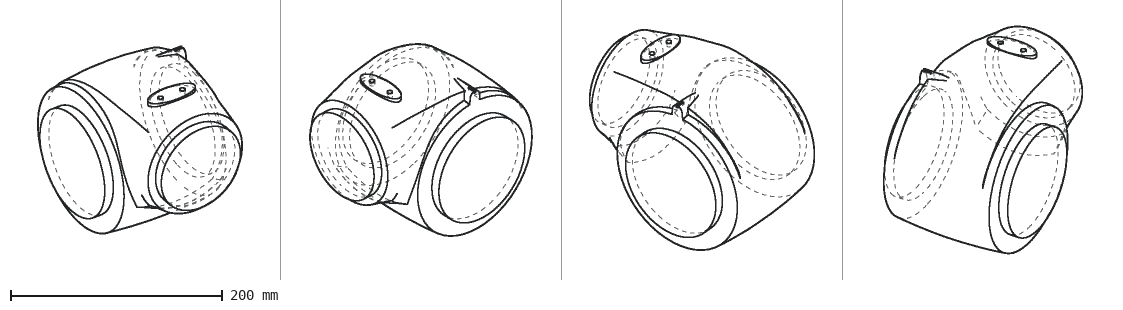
import cadquery as cq
import math


DRUM_WIDTH = 115.5
DRUM_END_RADIUS = 73.1
DRUM_MIDDLE_RADIUS = 76.5
PIN_DIAMETER = 110.0
PIN_SPAN = 135.0

NECK_HEIGHT = 35.0
NECK_RADIUS = 53.6
COLLAR_START_X = 90.2
NECK_END_X = 107.4
SPIGOT_DIAMETER = 90.0
SPIGOT_END_X = 117.0

PAD_X = 67.3
PAD_WIDTH = 21.7
PAD_LENGTH = 52.2
PAD_TOP = 92.5
PAD_BOTTOM = 69.7
PAD_HOLE_DIAMETER = 5.0
PAD_HOLE_SPACING = 25.0
PAD_HOLE_DEPTH = 3.9

RIB_FOOT_HALF_WIDTH = 7.0
RIB_FOOT_HEIGHT = 69.7
RIB_SHOULDER_HALF_WIDTH = 5.8
RIB_SHOULDER_HEIGHT = 80.1
RIB_TOP = 85.3
RIB_INNER_Y = 15.5
RIB_SLOT_WIDTH = 2.0
RIB_SLOT_LENGTH = 8.5
RIB_SLOT_DEPTH = 2.0


def barrel_drum():
    half_width = DRUM_WIDTH / 2
    profile = (
        cq.Workplane("XY")
        .moveTo(0, -half_width)
        .lineTo(DRUM_END_RADIUS, -half_width)
        .threePointArc((DRUM_MIDDLE_RADIUS, 0), (DRUM_END_RADIUS, half_width))
        .lineTo(0, half_width)
        .close()
    )
    return profile.revolve(360, (0, 0, 0), (0, 1, 0))


def pins():
    return cq.Workplane("XZ").circle(PIN_DIAMETER / 2).extrude(PIN_SPAN / 2, both=True)


def shell_section(x, tilt, crown, corner, waist, heel, keel):
    """Four-arc section, symmetric about Y = 0, in a plane through (x, 0, 0) at `tilt` degrees from +X.

    `crown` and `keel` are heights in that plane; `corner`, `waist` and `heel` are
    (half width, height) pairs.
    """
    angle = math.radians(tilt)

    def point(y, height):
        return cq.Vector(x + height * math.cos(angle), y, height * math.sin(angle))

    def side_point(pair, side):
        return point(side * pair[0], pair[1])

    def side_arc(start, end, side):
        return cq.Edge.makeThreePointArc(
            side_point(start, side), side_point(waist, side), side_point(end, side)
        )

    top = cq.Edge.makeThreePointArc(side_point(corner, -1), point(0, crown), side_point(corner, 1))
    back = side_arc(corner, heel, 1)
    bottom = cq.Edge.makeThreePointArc(side_point(heel, 1), point(0, keel), side_point(heel, -1))
    front = side_arc(heel, corner, -1)
    return cq.Wire.assembleEdges([top, back, bottom, front])


def shell():
    """Elbow that leaves the drum tangentially and turns into the round neck, closed by a collar."""
    diagonal = NECK_RADIUS / math.sqrt(2)
    sections = [
        (0, 159, 76.2, (48.4, 74.0), (50.3, 48.4), (48.4, 23.2), 19.4),
        (0, 145, 77.0, (48.4, 74.9), (50.3, 46.5), (48.4, 19.4), 15.5),
        (0, 130, 78.5, (48.5, 75.5), (50.3, 42.5), (48.4, 13.5), 9.7),
        (0, 110, 81.9, (48.8, 78.0), (50.3, 38.7), (48.4, 5.8), 0.0),
        (0, 90, 86.9, (49.0, 82.2), (50.7, 34.8), (48.4, -3.9), -9.7),
        (34.8, 90, 91.5, (48.2, 84.5), (52.6, 31.0), (46.5, -27.0), -38.7),
        (62, 90, 92.1, (45.5, 81.9), (55.5, 32.9), (43.5, -25.2), -36.8),
        (77.4, 90, 91.1, (43.3, 79.3), (55.3, 34.2), (42.4, -15.5), -25.7),
        (COLLAR_START_X, 90, 90.0, (41.2, 76.6), (54.5, 34.8), (41.0, -6.8), -20.3),
        (
            NECK_END_X,
            90,
            NECK_HEIGHT + NECK_RADIUS,
            (diagonal, NECK_HEIGHT + diagonal),
            (NECK_RADIUS, NECK_HEIGHT),
            (diagonal, NECK_HEIGHT - diagonal),
            NECK_HEIGHT - NECK_RADIUS,
        ),
    ]
    wires = [shell_section(*section) for section in sections]
    elbow = cq.Workplane(obj=cq.Solid.makeLoft(wires[:-1]))
    collar = cq.Workplane(obj=cq.Solid.makeLoft(wires[-2:], True))
    return elbow.union(collar)


def spigot():
    return (
        cq.Workplane("YZ", origin=(NECK_END_X, 0, NECK_HEIGHT))
        .circle(SPIGOT_DIAMETER / 2)
        .extrude(SPIGOT_END_X - NECK_END_X)
    )


def pad():
    return (
        cq.Workplane("XY", origin=(PAD_X, 0, PAD_BOTTOM))
        .ellipse(PAD_WIDTH / 2, PAD_LENGTH / 2)
        .extrude(PAD_TOP - PAD_BOTTOM)
    )


def pad_holes():
    return (
        cq.Workplane("XY", origin=(PAD_X, 0, PAD_TOP))
        .rarray(2, PAD_HOLE_SPACING, 1, 2)
        .circle(PAD_HOLE_DIAMETER / 2)
        .extrude(-PAD_HOLE_DEPTH)
    )


def rib():
    outer_y = DRUM_WIDTH / 2
    return (
        cq.Workplane("XZ", origin=(0, outer_y, 0))
        .moveTo(-RIB_FOOT_HALF_WIDTH, RIB_FOOT_HEIGHT)
        .lineTo(-RIB_SHOULDER_HALF_WIDTH, RIB_SHOULDER_HEIGHT)
        .threePointArc((0, RIB_TOP), (RIB_SHOULDER_HALF_WIDTH, RIB_SHOULDER_HEIGHT))
        .lineTo(RIB_FOOT_HALF_WIDTH, RIB_FOOT_HEIGHT)
        .close()
        .extrude(outer_y - RIB_INNER_Y)
    )


def rib_slot():
    slot = cq.Workplane("XY").box(
        RIB_SLOT_WIDTH, RIB_SLOT_LENGTH, RIB_SLOT_DEPTH, centered=(True, False, False)
    )
    return slot.translate((0, DRUM_WIDTH / 2 - RIB_SLOT_LENGTH, RIB_TOP - RIB_SLOT_DEPTH))


body = barrel_drum().union(shell()).union(pins()).union(spigot())
body = body.union(rib()).cut(rib_slot())
result = body.union(pad()).cut(pad_holes())